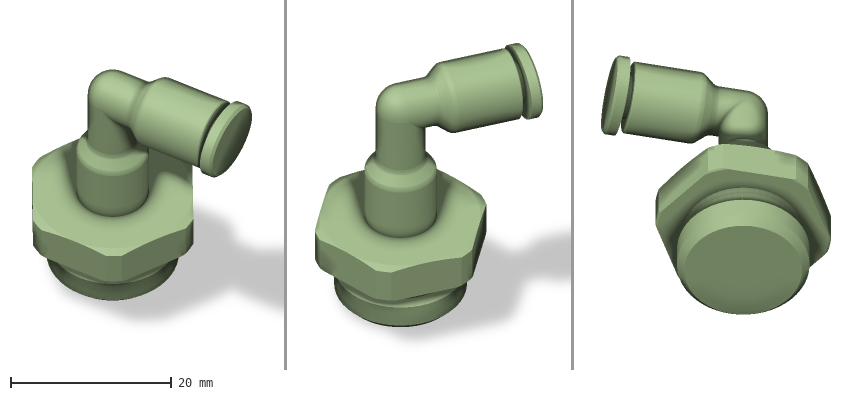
import cadquery as cq
import math

plug_radius = 8.28
plug_chamfer_height = 1.0
plug_chamfer_width = 0.9
plug_shoulder_z = 3.9
groove_radius = 7.3
groove_bottom_z = 4.5
groove_flare_z = 6.5
groove_flare_width = 0.25

hex_across_flats = 20.0
hex_corner_radius = 11.02
hex_bottom_z = 7.03
hex_top_z = 12.03
hex_top_chamfer_height = 0.37
hex_bottom_chamfer_height = 0.15
hex_bottom_chamfer_width = 0.25

body_radius = 4.53
tube_radius = 3.1
taper_angle = 39
taper_blend_radius = 1.0
stem_taper_start_z = 19.65
outlet_taper_end_x = 5.8
outlet_end_x = 14.67
outlet_edge_chamfer = 0.15

total_height = 33.8
outlet_axis_z = total_height - body_radius

neck_radius = 2.77
collar_start_x = 15.48
collar_end_x = 17.07
collar_half_width = 5.45
collar_half_height = 4.33
collar_edge_chamfer = 0.35


def make_plug():
    """Turned plug with a chamfered lower end and an undercut below the hexagon."""
    outline = [
        (0, 0),
        (plug_radius - plug_chamfer_width, 0),
        (plug_radius, plug_chamfer_height),
        (plug_radius, plug_shoulder_z),
        (groove_radius, groove_bottom_z),
        (groove_radius, groove_flare_z),
        (groove_radius + groove_flare_width, hex_bottom_z),
        (0, hex_bottom_z),
    ]
    return cq.Workplane("XZ").polyline(outline).close().revolve(360, (0, 0), (0, 1))


def make_hexagon():
    """Hexagon with its corners trimmed by a turned blank chamfered on both faces."""
    across_corners = hex_across_flats / math.cos(math.radians(30))
    prism = (
        cq.Workplane("XY")
        .workplane(offset=hex_bottom_z)
        .polygon(6, across_corners)
        .extrude(hex_top_z - hex_bottom_z)
    )
    blank_outline = [
        (0, hex_bottom_z),
        (hex_corner_radius - hex_bottom_chamfer_width, hex_bottom_z),
        (hex_corner_radius, hex_bottom_z + hex_bottom_chamfer_height),
        (hex_corner_radius, hex_top_z - hex_top_chamfer_height),
        (hex_across_flats / 2, hex_top_z),
        (0, hex_top_z),
    ]
    blank = cq.Workplane("XZ").polyline(blank_outline).close().revolve(360, (0, 0), (0, 1))
    return prism.intersect(blank)


def make_tapered_bar(body_length, tube_length):
    """Round bar along +Z: the body, a taper starting at z = body_length, then the thinner tube."""
    taper_length = (body_radius - tube_radius) / math.tan(math.radians(taper_angle))
    bar = cq.Workplane("XY").circle(body_radius).extrude(body_length)
    taper = cq.Solid.makeCone(body_radius, tube_radius, taper_length, cq.Vector(0, 0, body_length))
    tube = (
        cq.Workplane("XY")
        .workplane(offset=body_length + taper_length)
        .circle(tube_radius)
        .extrude(tube_length - taper_length)
    )
    bar = bar.union(cq.Workplane(taper)).union(tube)
    return bar.faces("%CONE").edges("%CIRCLE").fillet(taper_blend_radius)


def make_stem():
    """Vertical stem from the top of the hexagon up to the elbow."""
    bar = make_tapered_bar(stem_taper_start_z - hex_top_z, outlet_axis_z - stem_taper_start_z)
    return bar.translate((0, 0, hex_top_z))


def make_outlet():
    """Horizontal outlet from the elbow to its chamfered mouth."""
    bar = make_tapered_bar(outlet_end_x - outlet_taper_end_x, outlet_taper_end_x)
    bar = bar.faces("<Z").edges().chamfer(outlet_edge_chamfer)
    return bar.rotate((0, 0, 0), (0, 1, 0), -90).translate((outlet_end_x, 0, outlet_axis_z))


def make_elbow():
    """Ball that rounds the outside of the bend."""
    return cq.Workplane("XY").sphere(tube_radius).translate((0, 0, outlet_axis_z))


def make_collar():
    """Oval collar with a chamfered outer edge, held on a round neck."""
    neck = (
        cq.Workplane("YZ", origin=(outlet_end_x, 0, outlet_axis_z))
        .circle(neck_radius)
        .extrude(collar_start_x - outlet_end_x)
    )
    disc = (
        cq.Workplane("YZ", origin=(collar_start_x, 0, outlet_axis_z))
        .ellipse(collar_half_width, collar_half_height)
        .extrude(collar_end_x - collar_start_x)
        .faces(">X")
        .edges()
        .chamfer(collar_edge_chamfer)
    )
    return neck.union(disc)


result = (
    make_plug()
    .union(make_hexagon())
    .union(make_stem())
    .union(make_outlet())
    .union(make_elbow())
    .union(make_collar())
)